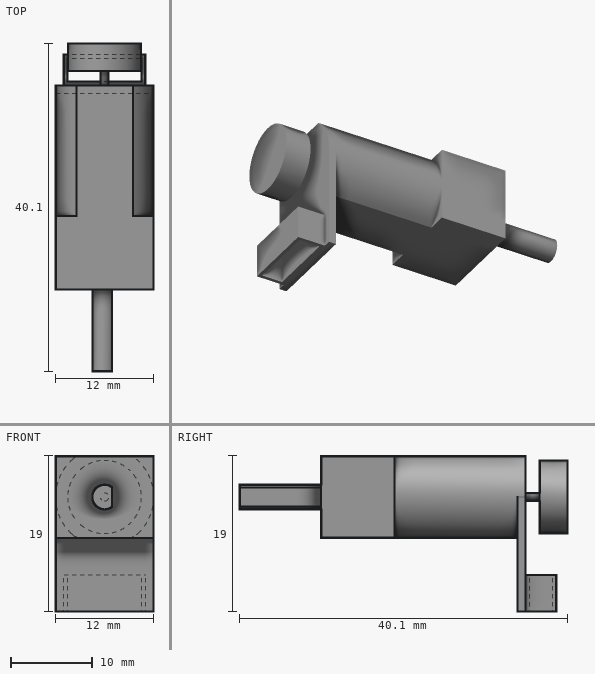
import cadquery as cq

body_width = 12.0
body_height = 10.0
gearbox_length = 9.0
can_length = 15.0
can_flat_width = 6.9

shaft_diameter = 3.0
shaft_length = 10.0
shaft_flat_offset = 0.92

plate_thickness = 1.0
plate_drop = 14.0

socket_width = 10.0
socket_height = 4.5
socket_depth = 3.75
socket_wall = 0.5

overall_length = 40.1
pin_diameter = 1.0
magnet_diameter = 9.0
magnet_thickness = 3.4

half_width = body_width / 2
half_height = body_height / 2
half_flat = can_flat_width / 2
plate_front = gearbox_length + can_length
plate_back = plate_front + plate_thickness
magnet_back = overall_length - shaft_length
magnet_front = magnet_back - magnet_thickness

arc_center = (half_width**2 - half_flat**2 - half_height**2) / (2 * (half_width - half_flat))
arc_radius = half_width - arc_center


def section_at(y):
    """Workplane facing +Y, with local x along -X and local y along +Z."""
    return cq.Workplane("XZ", origin=(0, y, 0)).transformed(rotate=(0, 180, 0))


def make_gearbox():
    return section_at(0).rect(body_width, body_height).extrude(gearbox_length)


def make_motor_can():
    return (
        section_at(gearbox_length)
        .moveTo(-half_flat, half_height)
        .lineTo(half_flat, half_height)
        .radiusArc((half_width, 0), arc_radius)
        .radiusArc((half_flat, -half_height), arc_radius)
        .lineTo(-half_flat, -half_height)
        .radiusArc((-half_width, 0), arc_radius)
        .radiusArc((-half_flat, half_height), arc_radius)
        .close()
        .extrude(can_length)
    )


def make_plate():
    return (
        section_at(plate_front)
        .moveTo(-half_flat, half_height)
        .lineTo(half_flat, half_height)
        .radiusArc((half_width, 0), arc_radius)
        .lineTo(half_width, -plate_drop)
        .lineTo(-half_width, -plate_drop)
        .lineTo(-half_width, 0)
        .radiusArc((-half_flat, half_height), arc_radius)
        .close()
        .extrude(plate_thickness)
    )


def make_output_shaft():
    shaft = section_at(-shaft_length).circle(shaft_diameter / 2).extrude(shaft_length)
    flat_cutter = cq.Workplane("XY").box(
        shaft_diameter, shaft_length, shaft_diameter, centered=(False, False, True)
    )
    return shaft.cut(flat_cutter.translate((shaft_flat_offset, -shaft_length, 0)))


def make_socket():
    """Rectangular connector shell, open at the top and bottom."""
    center_y = plate_back + socket_depth / 2
    return (
        cq.Workplane("XY", origin=(0, center_y, -plate_drop))
        .rect(socket_width, socket_depth)
        .rect(socket_width - 2 * socket_wall, socket_depth - 2 * socket_wall)
        .extrude(socket_height)
    )


def make_rear_magnet():
    pin = section_at(plate_back).circle(pin_diameter / 2).extrude(magnet_front - plate_back)
    magnet = section_at(magnet_front).circle(magnet_diameter / 2).extrude(magnet_thickness)
    return pin.union(magnet)


result = (
    make_gearbox()
    .union(make_motor_can())
    .union(make_plate())
    .union(make_output_shaft())
    .union(make_socket())
    .union(make_rear_magnet())
)